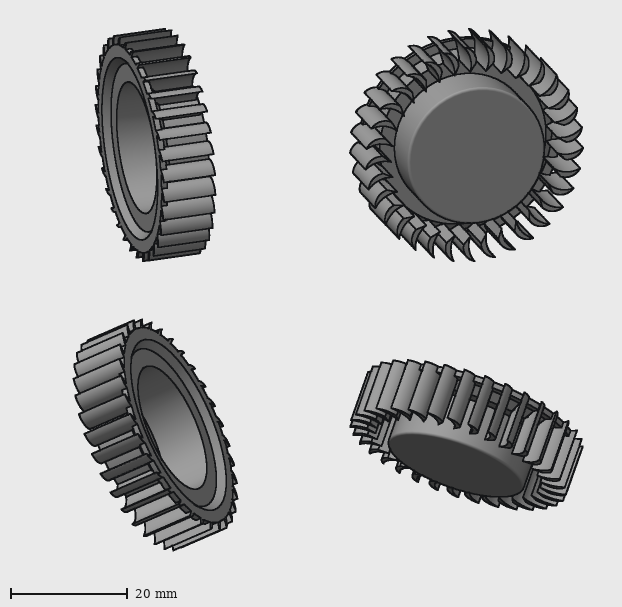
import cadquery as cq
import math

total_depth = 10.5
overall_width = 38.95

hub_radius = 12.27
bore_radius = 11.38
end_wall = 1.0
hub_edge_fillet = 0.45

rim_radius = 18.0
rim_depth = 1.05
dish_depth = 1.25
dish_mouth_radius = 15.78
dish_floor_radius = 14.57
web_back = 2.5
web_back_radius = 14.9
web_cone_radius = 16.35

blade_count = 33
blade_pitch = 360 / blade_count
blade_depth = 9.25
tip_angle = 8.3
middle_radius = 18.3
concave_end_radius = web_back_radius
concave_end_angle = 5.6
concave_middle_angle = 6.1
convex_end_radius = 16.45
convex_end_angle = 1.5
convex_middle_angle = 3.2

left_tip_offset = math.radians(blade_pitch - tip_angle)
right_tip_offset = math.radians(tip_angle - blade_pitch / 2)
tip_radius = overall_width / (math.cos(left_tip_offset) + math.cos(right_tip_offset))


def polar(radius, angle):
    """Point (X, Z) at a radius and an angle turned clockwise from -X."""
    turn = math.radians(angle)
    return (-radius * math.cos(turn), radius * math.sin(turn))


def turned(profile):
    """Solid of revolution about Y from a profile of (radius, Y) points."""
    return cq.Workplane("XY").polyline(profile).close().revolve(360, (0, 0), (0, 1))


def make_wheel():
    """Hub, web and rim, still solid at the front."""
    wheel = turned([
        (0, 0),
        (rim_radius, 0),
        (rim_radius, rim_depth),
        (web_cone_radius, rim_depth),
        (web_back_radius, web_back),
        (hub_radius, web_back),
        (hub_radius, total_depth),
        (0, total_depth),
    ])
    return wheel.faces(">Y").edges().fillet(hub_edge_fillet)


def make_hollow():
    """Dish and bore that open to the front."""
    bore_end = total_depth - end_wall
    return turned([
        (0, 0),
        (dish_mouth_radius, 0),
        (dish_floor_radius, dish_depth),
        (bore_radius, dish_depth),
        (bore_radius, bore_end),
        (0, bore_end),
    ])


def make_blades():
    """Blades that are bounded by two arcs meeting at a sharp tip, repeated around the rim."""
    tip = polar(tip_radius, tip_angle)
    convex_end = polar(convex_end_radius, convex_end_angle)
    convex_middle = polar(middle_radius, convex_middle_angle)
    concave_middle = polar(middle_radius, concave_middle_angle)
    concave_end = polar(concave_end_radius, concave_end_angle)
    blade = (
        cq.Workplane("XZ")
        .moveTo(*convex_end)
        .threePointArc(convex_middle, tip)
        .threePointArc(concave_middle, concave_end)
        .close()
        .extrude(-blade_depth)
        .val()
    )
    axis_start = cq.Vector(0, 0, 0)
    axis_end = cq.Vector(0, 1, 0)
    return [blade.rotate(axis_start, axis_end, i * blade_pitch) for i in range(blade_count)]


bladed_wheel = make_wheel().val().fuse(*make_blades()).clean()
result = cq.Workplane(bladed_wheel).cut(make_hollow())